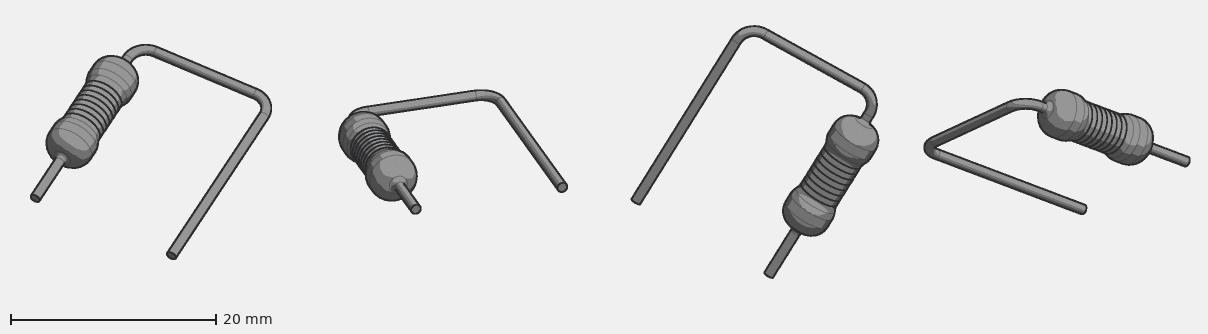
import cadquery as cq
import math

wire_diameter = 1.0
wire_radius = wire_diameter / 2
lead_spacing = 15.0
overall_length = 21.8
bend_radius = 2.0

body_center_y = 11.92
cap_radius = 4.8 / 2
waist_radius = 4.08 / 2
band_radius = 4.1 / 2
cap_end = 6.35
dome_radius = 1.68
cap_width = 1.02
lead_fillet = 0.48

band_count = 4
waist_half_length = 2.25
band_width = 2 * waist_half_length / (2 * band_count - 1)

dome_start = cap_end - dome_radius
shoulder_start = dome_start - cap_width
shoulder_middle = (shoulder_start + waist_half_length) / 2
shoulder_middle_radius = (cap_radius + waist_radius) / 2
shoulder_rise = shoulder_middle_radius - waist_radius
shoulder_run = shoulder_middle - waist_half_length
shoulder_angle = 2 * math.atan(shoulder_rise / shoulder_run)
shoulder_radius = shoulder_run / math.sin(shoulder_angle)

dome_center_radius = cap_radius - dome_radius
fillet_center_radius = wire_radius + lead_fillet
fillet_offset = fillet_center_radius - dome_center_radius
fillet_end = dome_start + math.sqrt((dome_radius + lead_fillet) ** 2 - fillet_offset ** 2)
fillet_angle = math.asin(fillet_offset / (dome_radius + lead_fillet))
contact_radius = dome_center_radius + dome_radius * math.sin(fillet_angle)
contact_station = dome_start + dome_radius * math.cos(fillet_angle)


def body_end():
    """Revolve one end of the body, from the edge of the waist to the fillet on the lead."""
    mid_angle = (math.pi / 2 + fillet_angle) / 2
    dome_mid = (
        dome_center_radius + dome_radius * math.sin(mid_angle),
        dome_start + dome_radius * math.cos(mid_angle),
    )
    fillet_mid = (
        fillet_center_radius - lead_fillet * math.sin(mid_angle),
        fillet_end - lead_fillet * math.cos(mid_angle),
    )
    shoulder_arc_mid = (
        waist_radius + shoulder_radius * (1 - math.cos(shoulder_angle / 2)),
        waist_half_length + shoulder_radius * math.sin(shoulder_angle / 2),
    )
    return (
        cq.Workplane("XY")
        .moveTo(0, waist_half_length)
        .lineTo(waist_radius, waist_half_length)
        .threePointArc(shoulder_arc_mid, (shoulder_middle_radius, shoulder_middle))
        .tangentArcPoint((cap_radius, shoulder_start), relative=False)
        .lineTo(cap_radius, dome_start)
        .threePointArc(dome_mid, (contact_radius, contact_station))
        .threePointArc(fillet_mid, (wire_radius, fillet_end))
        .lineTo(0, fillet_end)
        .close()
        .revolve(360, (0, 0), (0, 1))
    )


def disc(radius, start, length):
    """Cylinder on the body axis, running along +Y from the given station."""
    return cq.Workplane("XZ", origin=(0, start, 0)).circle(radius).extrude(-length)


def resistor_body():
    end = body_end()
    waist = disc(waist_radius, -waist_half_length, 2 * waist_half_length)
    body = waist.union(end).union(end.mirror("XZ"))
    for index in range(band_count):
        band_start = 2 * index * band_width - waist_half_length
        body = body.union(disc(band_radius, band_start, band_width))
    return body.translate((0, body_center_y, 0))


def bent_wire():
    """Wire through the body, bent twice and returned parallel to itself."""
    top = overall_length - wire_radius
    bend_start = top - bend_radius
    path = (
        cq.Workplane("XY")
        .lineTo(0, bend_start)
        .tangentArcPoint((bend_radius, top), relative=False)
        .lineTo(lead_spacing - bend_radius, top)
        .tangentArcPoint((lead_spacing, bend_start), relative=False)
        .lineTo(lead_spacing, 0)
    )
    return cq.Workplane("XZ").circle(wire_radius).sweep(path)


result = resistor_body().union(bent_wire())